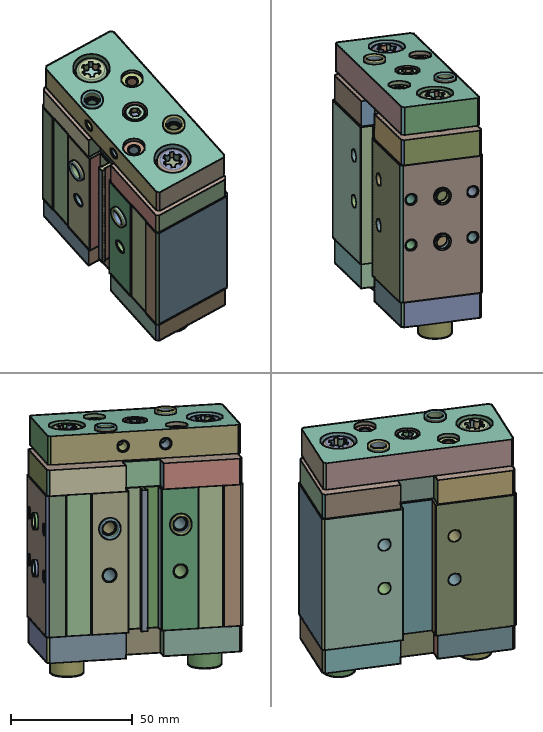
import cadquery as cq
import math


overall_height = 106.8
rod_overhang = 9.1
cap_height = 11.0
housing_height = 60.0
yoke_gap = 2.0
yoke_height = 12.2
housing_bottom = rod_overhang + cap_height
housing_top = housing_bottom + housing_height
cap_top = housing_top + cap_height
yoke_bottom = cap_top + yoke_gap
yoke_top = yoke_bottom + yoke_height

housing_width = 83.0
housing_depth = 36.0
cap_width = 82.1
cap_depth = 35.0
cap_shift_y = -0.2
yoke_width = 81.2
yoke_depth = 34.0
housing_front = -housing_depth / 2
housing_left = -housing_width / 2
block_chamfer = 1.1
yoke_chamfer = 1.1

housing_channel_width = 13.7
cap_channel_width = 15.8
housing_channel_depth = 5.3
cap_channel_depth = 5.8
channel_edge_chamfer = 0.3
rail_stem_width = 1.5
rail_head_width = 2.5
rail_head_depth = 1.5
rail_setback = 0.6
recess_inner_x = 22.3
recess_outer_x = 33.3
recess_depth = 0.4

guide_rod_diameter = 14.0
guide_rod_x = 29.0
guide_rod_y = -1.5
guide_rod_chamfer = 0.4
piston_rod_diameter = 8.0
guide_counterbore_diameter = 15.0
guide_counterbore_depth = 5.3
guide_head_diameter = 12.8
guide_head_setback = 0.6
guide_head_round = 1.1
star_tip_diameter = 8.0
star_valley_diameter = 5.7
star_valley_radius = 1.3
star_depth = 3.7
star_points = 6
piston_counterbore_diameter = 10.0
piston_counterbore_depth = 4.3
piston_head_diameter = 8.5
piston_head_setback = 0.3
piston_head_chamfer = 0.4
hex_corner_diameter = 4.7
hex_depth = 2.7
hex_sides = 6

hole_pitch = 20.0
upper_hole_z = 64.9
lower_hole_z = upper_hole_z - hole_pitch
mount_hole_x = 15.0
front_hole_diameter = 5.3
front_hole_mouth = 6.0
thread_diameter = 4.2
thread_mouth = 5.0
thread_depth = 9.0
drill_tip_angle = 118
side_thread_y = 13.5
yoke_rear_hole_y = 9.0
yoke_front_hole_y = yoke_rear_hole_y - hole_pitch
yoke_thread_x = 9.0

large_sleeve_outer = 9.0
large_sleeve_inner = 6.5
large_sleeve_length = 3.2
front_sleeve_projection = 1.8
top_sleeve_projection = overall_height - yoke_top
small_sleeve_outer = 7.0
small_sleeve_inner = 5.3
small_sleeve_length = 2.6
small_sleeve_projection = 1.3
front_sleeve_recess = large_sleeve_length - front_sleeve_projection
top_sleeve_recess = large_sleeve_length - top_sleeve_projection
small_sleeve_recess = small_sleeve_length - small_sleeve_projection

INTO_BACK = (0, 1, 0)
INTO_RIGHT = (1, 0, 0)
OUT_OF_FRONT = (0, -1, 0)
OUT_OF_LEFT = (-1, 0, 0)
DOWN = (0, 0, -1)
UP = (0, 0, 1)


def cylinder(diameter, length, start, direction):
    """Cylinder from a start point along a direction."""
    return cq.Workplane(cq.Solid.makeCylinder(diameter / 2, length, cq.Vector(*start), cq.Vector(*direction)))


def cone(start_diameter, end_diameter, length, start, direction):
    """Cone or truncated cone from a start point along a direction."""
    base = cq.Vector(*start)
    axis = cq.Vector(*direction)
    return cq.Workplane(cq.Solid.makeCone(start_diameter / 2, end_diameter / 2, length, base, axis))


def mouth_chamfer(mouth, bore, start, direction):
    """45 degree countersink between a mouth diameter and a bore diameter."""
    return cone(mouth, bore, (mouth - bore) / 2, start, direction)


def threaded_hole(start, direction):
    """Blind hole with a drill-point bottom and a chamfered mouth."""
    tip_length = thread_diameter / 2 / math.tan(math.radians(drill_tip_angle / 2))
    tip_start = cq.Vector(*start) + cq.Vector(*direction) * thread_depth
    bore = cylinder(thread_diameter, thread_depth, start, direction)
    tip = cone(thread_diameter, 0, tip_length, tip_start.toTuple(), direction)
    return bore.union(tip).union(mouth_chamfer(thread_mouth, thread_diameter, start, direction))


def chamfered_block(width, depth, height, bottom, shift_y, chamfer):
    """Upright block with chamfered vertical edges."""
    return (
        cq.Workplane("XY", origin=(0, shift_y, bottom))
        .rect(width, depth)
        .extrude(height)
        .edges("|Z")
        .chamfer(chamfer)
    )


def cut_channels(block, width, depth, front, back, bottom, height):
    """Cut one central channel along Z into the front face and one into the back face."""
    for face_y in (front, back):
        block = block.cut(
            cq.Workplane("XY", origin=(0, face_y, bottom)).rect(width, 2 * depth).extrude(height)
        )
    return block


def cut_rod_bores(block, bottom, height):
    """Running bores for the two guide rods."""
    for side in (-1, 1):
        block = block.cut(cylinder(guide_rod_diameter, height, (side * guide_rod_x, guide_rod_y, bottom), UP))
    return block


def cut_piston_bore(block, bottom, height):
    """Running bore for the piston rod."""
    return block.cut(cylinder(piston_rod_diameter, height, (0, 0, bottom), UP))


def channel_rail():
    """T-shaped rail standing on the floor of the front channel."""
    rail_front = housing_front + rail_setback
    head_back = rail_front + rail_head_depth
    floor_y = housing_front + housing_channel_depth
    half_head = rail_head_width / 2
    half_stem = rail_stem_width / 2
    outline = [
        (-half_head, rail_front),
        (half_head, rail_front),
        (half_head, head_back),
        (half_stem, head_back),
        (half_stem, floor_y),
        (-half_stem, floor_y),
        (-half_stem, head_back),
        (-half_head, head_back),
    ]
    return cq.Workplane("XY", origin=(0, 0, housing_bottom)).polyline(outline).close().extrude(housing_height)


def front_recess(side):
    """Shallow strip with 45 degree flanks in the front face, on the left (-1) or right (1)."""
    floor_y = housing_front + recess_depth
    outline = [
        (side * recess_inner_x, housing_front),
        (side * (recess_inner_x + recess_depth), floor_y),
        (side * (recess_outer_x - recess_depth), floor_y),
        (side * recess_outer_x, housing_front),
    ]
    return cq.Workplane("XY", origin=(0, 0, housing_bottom)).polyline(outline).close().extrude(housing_height)


def make_housing():
    """Extruded housing with channels, strips, bores and its mounting holes."""
    body = chamfered_block(housing_width, housing_depth, housing_height, housing_bottom, 0, block_chamfer)
    body = cut_channels(
        body,
        housing_channel_width,
        housing_channel_depth,
        housing_front,
        -housing_front,
        housing_bottom,
        housing_height,
    )
    channel_corners = cq.selectors.BoxSelector(
        (-housing_channel_width, -housing_depth, housing_bottom),
        (housing_channel_width, housing_front + channel_edge_chamfer, housing_top),
    ) + cq.selectors.BoxSelector(
        (-housing_channel_width, -housing_front - channel_edge_chamfer, housing_bottom),
        (housing_channel_width, housing_depth, housing_top),
    )
    body = body.edges("|Z").edges(channel_corners).chamfer(channel_edge_chamfer)
    body = body.union(channel_rail())
    body = cut_rod_bores(body, housing_bottom, housing_height)
    body = cut_piston_bore(body, housing_bottom, housing_height)
    for side in (-1, 1):
        body = body.cut(front_recess(side))
        for z in (upper_hole_z, lower_hole_z):
            start = (side * mount_hole_x, housing_front, z)
            body = body.cut(cylinder(front_hole_diameter, housing_depth, start, INTO_BACK))
            body = body.cut(mouth_chamfer(front_hole_mouth, front_hole_diameter, start, INTO_BACK))
        sleeve_start = (side * mount_hole_x, housing_front, upper_hole_z)
        body = body.cut(cylinder(large_sleeve_outer, front_sleeve_recess, sleeve_start, INTO_BACK))
    for z in (upper_hole_z, lower_hole_z):
        body = body.cut(cylinder(small_sleeve_outer, small_sleeve_recess, (housing_left, 0, z), INTO_RIGHT))
        for y in (-side_thread_y, side_thread_y):
            body = body.cut(threaded_hole((housing_left, y, z), INTO_RIGHT))
    return body


def make_cap(bottom):
    """End cap with central channels and guide rod bores."""
    cap = chamfered_block(cap_width, cap_depth, cap_height, bottom, cap_shift_y, block_chamfer)
    cap = cut_channels(
        cap,
        cap_channel_width,
        cap_channel_depth,
        cap_shift_y - cap_depth / 2,
        cap_shift_y + cap_depth / 2,
        bottom,
        cap_height,
    )
    return cut_rod_bores(cap, bottom, cap_height)


def star_socket(x, y, top):
    """Six-pointed drive socket: a round pocket narrowed by six round valleys."""
    valley_distance = star_valley_diameter / 2 + star_valley_radius
    valleys = (
        cq.Workplane("XY", origin=(x, y, top - star_depth))
        .polarArray(valley_distance, 0, 360, star_points)
        .circle(star_valley_radius)
        .extrude(star_depth)
    )
    return cylinder(star_tip_diameter, star_depth, (x, y, top), DOWN).cut(valleys)


def add_guide_rod(yoke, x):
    """Guide rod below the yoke plate with its screw head in the counterbore above."""
    head_top = yoke_top - guide_head_setback
    seat = yoke_top - guide_counterbore_depth
    rod = cylinder(guide_rod_diameter, yoke_bottom, (x, guide_rod_y, 0), UP)
    rod = rod.faces("<Z").edges().chamfer(guide_rod_chamfer)
    mouth = (x, guide_rod_y, yoke_top)
    counterbore = cylinder(guide_counterbore_diameter, guide_counterbore_depth, mouth, DOWN)
    head = cylinder(guide_head_diameter, head_top - seat, (x, guide_rod_y, seat), UP)
    head = head.faces(">Z").edges().fillet(guide_head_round)
    head = head.cut(star_socket(x, guide_rod_y, head_top))
    return yoke.cut(counterbore).union(head).union(rod)


def add_piston_rod(yoke):
    """Piston rod below the yoke plate with its hexagon socket screw head above."""
    head_top = yoke_top - piston_head_setback
    seat = yoke_top - piston_counterbore_depth
    rod = cylinder(piston_rod_diameter, yoke_bottom - housing_bottom, (0, 0, housing_bottom), UP)
    counterbore = cylinder(piston_counterbore_diameter, piston_counterbore_depth, (0, 0, yoke_top), DOWN)
    head = cylinder(piston_head_diameter, head_top - seat, (0, 0, seat), UP)
    head = head.faces(">Z").edges().chamfer(piston_head_chamfer)
    socket = (
        cq.Workplane("XY", origin=(0, 0, head_top))
        .polygon(hex_sides, hex_corner_diameter)
        .extrude(-hex_depth)
    )
    return yoke.cut(counterbore).union(head.cut(socket)).union(rod)


def make_yoke():
    """Moving unit: yoke plate with the guide rods, the piston rod and their screw heads."""
    yoke = chamfered_block(yoke_width, yoke_depth, yoke_height, yoke_bottom, 0, yoke_chamfer)
    for side in (-1, 1):
        for y in (yoke_front_hole_y, yoke_rear_hole_y):
            x = side * mount_hole_x
            floor = (x, y, yoke_top - top_sleeve_recess)
            yoke = yoke.cut(cylinder(large_sleeve_outer, top_sleeve_recess, (x, y, yoke_top), DOWN))
            yoke = yoke.cut(cylinder(thread_diameter, yoke_height, (x, y, yoke_top), DOWN))
            yoke = yoke.cut(mouth_chamfer(thread_mouth, thread_diameter, floor, DOWN))
        front_start = (side * yoke_thread_x, -yoke_depth / 2, (yoke_bottom + yoke_top) / 2)
        yoke = yoke.cut(threaded_hole(front_start, INTO_BACK))
        yoke = add_guide_rod(yoke, side * guide_rod_x)
    return add_piston_rod(yoke)


def make_large_sleeve(start, direction):
    """Large centring sleeve whose projecting rim is fully rounded."""
    inner_radius = large_sleeve_inner / 2
    outer_radius = large_sleeve_outer / 2
    rim_radius = (outer_radius - inner_radius) / 2
    rim_base = large_sleeve_length - rim_radius
    profile_normal = cq.Vector(*INTO_RIGHT).cross(cq.Vector(*direction))
    axis_plane = cq.Plane(origin=start, xDir=INTO_RIGHT, normal=profile_normal)
    return (
        cq.Workplane(axis_plane)
        .moveTo(inner_radius, 0)
        .lineTo(outer_radius, 0)
        .lineTo(outer_radius, rim_base)
        .threePointArc((inner_radius + rim_radius, large_sleeve_length), (inner_radius, rim_base))
        .close()
        .revolve(360, (0, 0), (0, 1))
    )


def make_small_sleeve(start, direction):
    """Small centring sleeve with square rims."""
    outside = cylinder(small_sleeve_outer, small_sleeve_length, start, direction)
    return outside.cut(cylinder(small_sleeve_inner, small_sleeve_length, start, direction))


housing = make_housing()
bottom_cap = make_cap(rod_overhang)
top_cap = cut_piston_bore(make_cap(housing_top), housing_top, cap_height)
yoke = make_yoke()

front_sleeves = [
    make_large_sleeve((x, housing_front + front_sleeve_recess, upper_hole_z), OUT_OF_FRONT)
    for x in (-mount_hole_x, mount_hole_x)
]
top_sleeves = [
    make_large_sleeve((x, y, yoke_top - top_sleeve_recess), UP)
    for x, y in ((-mount_hole_x, yoke_front_hole_y), (mount_hole_x, yoke_rear_hole_y))
]
side_sleeves = [
    make_small_sleeve((housing_left + small_sleeve_recess, 0, z), OUT_OF_LEFT)
    for z in (upper_hole_z, lower_hole_z)
]

sleeves = front_sleeves + top_sleeves + side_sleeves
result = cq.Compound.makeCompound(
    [housing.val(), bottom_cap.val(), top_cap.val(), yoke.val(), *[sleeve.val() for sleeve in sleeves]]
)